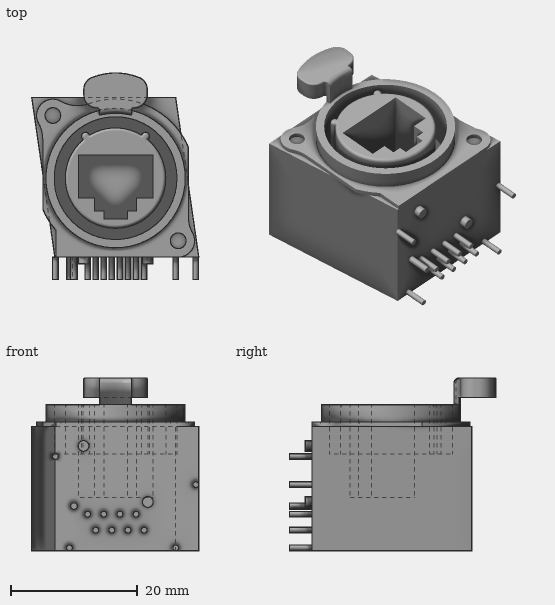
import cadquery as cq
import math


body_width = 22.7
body_skew = 3.65
body_left = -13.23
body_front = -12.45
body_back = 12.75
body_height = 19.58

plate_thickness = 0.72
plate_radius = 12.48
plate_half_width = 11.47
plate_front_left = -9.35
ear_offset = 9.87
ear_radius = -body_front - ear_offset
ear_blend_radius = 5.08
ear_hole_radius = 1.25

ring_outer_radius = 10.98
ring_inner_radius = 9.68
ring_height = 2.75
groove_depth = 7.82
plug_radius = 7.92
plug_rounding = 0.5
key_radius = 0.65
key_x = 4.72
key_y = 6.58

jack_top = 3.68
jack_steps = [(5.85, -3.1), (3.3, -5.15), (1.85, -6.45)]
jack_depth = 14.65

latch_height = 4.2
pad_thickness = 3.1
pad_back = 16.58
pad_half_width = 5.02
pad_back_radius = 10.0
pad_corner_radius = 2.1
pad_side_low = 13.13
pad_side_high = 13.95
pad_rounding = 0.23
stem_half_width = 2.5
stem_inner_radius = 10.23
stem_bend_radius = 0.85

pin_radius = 0.45
pin_length = 3.55
pin_pitch = 2.55
contacts_per_row = 4
contact_rows = [(-4.4, 5.77), (-3.13, 3.25)]
shell_pins = [(-9.48, 14.85), (12.65, 10.43), (-7.25, pin_radius), (9.48, pin_radius)]
ground_pin_radius = 0.52
ground_pins = [(-6.55, 7.05)]
peg_radius = 0.85
peg_length = 1.08
pegs = [(-5.05, 16.52), (5.08, 7.7)]

plate_top = body_height + plate_thickness
ring_top = plate_top + ring_height
groove_floor = ring_top - groove_depth
latch_top = ring_top + latch_height


def cylinder(x, y, base, radius, height):
    return cq.Workplane("XY", origin=(x, y, base)).circle(radius).extrude(height)


def make_body():
    corners = [
        (body_left, body_back),
        (body_left + body_width, body_back),
        (body_left + body_width + body_skew, body_front),
        (body_left + body_skew, body_front),
    ]
    return cq.Workplane("XY").polyline(corners).close().extrude(body_height)


def toward(start, end, distance):
    """Point at a distance from start on the line to end."""
    fraction = distance / math.dist(start, end)
    return (start[0] + fraction * (end[0] - start[0]), start[1] + fraction * (end[1] - start[1]))


def opposite(point):
    return (-point[0], -point[1])


def mirrored(point):
    return (-point[0], point[1])


def middle_of_arc(center, start, end, radius):
    """Middle point of the shorter arc from start to end."""
    chord_middle = ((start[0] + end[0]) / 2, (start[1] + end[1]) / 2)
    return toward(center, chord_middle, radius)


def make_plate():
    ear = (-ear_offset, ear_offset)
    ear_reach = ear_radius + ear_blend_radius

    side_center_x = -plate_half_width - ear_blend_radius
    side_center_y = ear_offset - math.sqrt(ear_reach**2 - (side_center_x + ear_offset) ** 2)
    side_center = (side_center_x, side_center_y)
    side_start = (-plate_half_width, side_center_y)
    side_end = toward(ear, side_center, ear_radius)
    side_middle = middle_of_arc(side_center, side_start, side_end, ear_blend_radius)

    rim_reach = plate_radius + ear_blend_radius
    ear_distance = math.hypot(*ear)
    turn = math.acos((rim_reach**2 + ear_distance**2 - ear_reach**2) / (2 * rim_reach * ear_distance))
    rim_angle = math.atan2(ear[1], ear[0]) - turn
    rim_center = (rim_reach * math.cos(rim_angle), rim_reach * math.sin(rim_angle))
    rim_start = toward(ear, rim_center, ear_radius)
    rim_end = toward((0, 0), rim_center, plate_radius)
    rim_middle = middle_of_arc(rim_center, rim_start, rim_end, ear_blend_radius)

    ear_tip = toward(ear, (2 * ear[0], 2 * ear[1]), ear_radius)
    rim_side = (plate_half_width, math.sqrt(plate_radius**2 - plate_half_width**2))
    rim_top = toward((0, 0), (1, 1), plate_radius)
    rim_front = (plate_front_left, -math.sqrt(plate_radius**2 - plate_front_left**2))
    rim_left = opposite(rim_side)
    rim_left_middle = middle_of_arc((0, 0), rim_left, rim_front, plate_radius)

    plate = (
        cq.Workplane("XY", origin=(0, 0, body_height))
        .moveTo(*rim_left)
        .lineTo(*side_start)
        .threePointArc(side_middle, side_end)
        .threePointArc(ear_tip, rim_start)
        .threePointArc(rim_middle, rim_end)
        .threePointArc(rim_top, rim_side)
        .lineTo(*opposite(side_start))
        .threePointArc(opposite(side_middle), opposite(side_end))
        .threePointArc(opposite(ear_tip), (ear_offset, body_front))
        .lineTo(plate_front_left, body_front)
        .lineTo(*rim_front)
        .threePointArc(rim_left_middle, rim_left)
        .close()
        .extrude(plate_thickness)
    )
    for center in (ear, opposite(ear)):
        plate = plate.cut(cylinder(*center, body_height, ear_hole_radius, plate_thickness))
    return plate


def make_ring():
    return cylinder(0, 0, plate_top, ring_outer_radius, ring_height)


def make_ring_bore():
    return cylinder(0, 0, groove_floor, ring_inner_radius, groove_depth)


def make_plug():
    plug = cylinder(0, 0, groove_floor, plug_radius, groove_depth)
    for x in (-key_x, key_x):
        plug = plug.union(cylinder(x, key_y, groove_floor, key_radius, groove_depth))
    return plug.faces(">Z").edges().fillet(plug_rounding)


def make_pad():
    corner_x = pad_half_width - pad_corner_radius
    neck_radius = corner_x - stem_half_width
    neck_y = pad_side_low - pad_corner_radius - neck_radius
    diagonal = math.sqrt(0.5)

    back_center = (0, pad_back - pad_back_radius)
    touch_x, touch_y = toward(back_center, (corner_x, pad_side_high), pad_back_radius)
    corner_middle = middle_of_arc((corner_x, pad_side_high), (pad_half_width, pad_side_high),
                                  (touch_x, touch_y), pad_corner_radius)
    low_middle = (corner_x + pad_corner_radius * diagonal, pad_side_low - pad_corner_radius * diagonal)
    neck_middle = (corner_x - neck_radius * diagonal, neck_y + neck_radius * diagonal)

    pad = (
        cq.Workplane("XY", origin=(0, 0, latch_top - pad_thickness))
        .moveTo(stem_half_width, neck_y)
        .threePointArc(neck_middle, (corner_x, neck_y + neck_radius))
        .threePointArc(low_middle, (pad_half_width, pad_side_low))
        .lineTo(pad_half_width, pad_side_high)
        .threePointArc(corner_middle, (touch_x, touch_y))
        .threePointArc((0, pad_back), (-touch_x, touch_y))
        .threePointArc(mirrored(corner_middle), (-pad_half_width, pad_side_high))
        .lineTo(-pad_half_width, pad_side_low)
        .threePointArc(mirrored(low_middle), (-corner_x, neck_y + neck_radius))
        .threePointArc(mirrored(neck_middle), (-stem_half_width, neck_y))
        .close()
        .extrude(pad_thickness)
    )
    return pad.faces(">Z").edges("not <Y").fillet(pad_rounding)


def make_latch():
    stem_slab = cq.Workplane("XY", origin=(0, 0, ring_top)).box(
        2 * stem_half_width, pad_back, latch_height, centered=(True, False, False)
    )
    stem = cylinder(0, 0, ring_top, ring_outer_radius, latch_height)
    stem = stem.cut(cylinder(0, 0, ring_top, stem_inner_radius, latch_height))

    bend_outer_radius = stem_inner_radius + stem_bend_radius
    bend_middle = stem_bend_radius * (1 - math.sqrt(0.5))
    bend_waste = (
        cq.Workplane("XZ")
        .moveTo(stem_inner_radius, latch_top)
        .lineTo(stem_inner_radius, latch_top - stem_bend_radius)
        .threePointArc((stem_inner_radius + bend_middle, latch_top - bend_middle),
                       (bend_outer_radius, latch_top))
        .close()
        .revolve(360, (0, 0), (0, 1))
    )
    latch = make_pad().union(stem.intersect(stem_slab))
    return latch.cut(bend_waste.intersect(stem_slab))


def make_jack_opening():
    opening = cq.Workplane("XY")
    for half_width, lower_edge in jack_steps:
        opening = opening.union(
            cq.Workplane("XY", origin=(0, lower_edge, ring_top - jack_depth))
            .box(2 * half_width, jack_top - lower_edge, jack_depth, centered=(True, False, False))
        )
    return opening


def make_pins(places, radius, length):
    return cq.Workplane("XZ", origin=(0, body_front, 0)).pushPoints(places).circle(radius).extrude(length)


contacts = [
    (first_x + index * pin_pitch, z)
    for first_x, z in contact_rows
    for index in range(contacts_per_row)
]

result = (
    make_body()
    .union(make_plate())
    .union(make_ring())
    .cut(make_ring_bore())
    .union(make_plug())
    .union(make_latch())
    .cut(make_jack_opening())
    .union(make_pins(contacts + shell_pins, pin_radius, pin_length))
    .union(make_pins(ground_pins, ground_pin_radius, pin_length))
    .union(make_pins(pegs, peg_radius, peg_length))
)